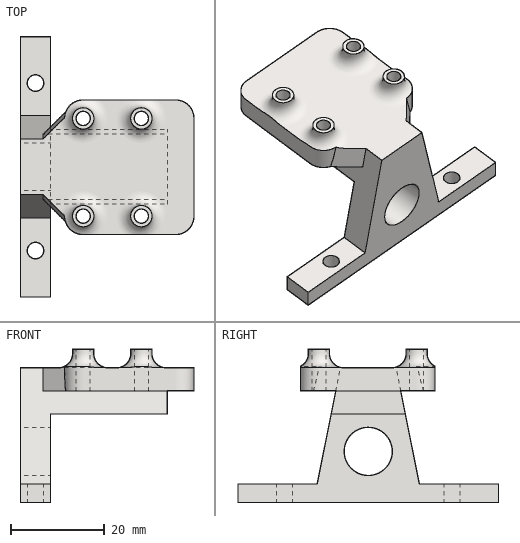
import cadquery as cq


leg_thickness = 6.5
foot_length = 56.0
foot_height = 4.0
foot_hole_diameter = 3.5
foot_hole_spacing = 36.0

deck_height = 29.0
plate_thickness = 5.0
plate_width = 29.0
plate_center_y = -0.1
plate_corner_radius = 4.0
corner_offset_y = plate_width / 2 - plate_corner_radius
plate_start_x = 9.5
plate_end_x = 37.34
plate_length = plate_end_x - plate_start_x
plate_bottom = deck_height - plate_thickness

taper_deck_width = 12.0
taper_foot_width = 22.0
arm_end_x = 31.6
arm_depth = 5.0
arm_bottom = plate_bottom - arm_depth
leg_bore_diameter = 10.3
leg_bore_height = 11.0

gusset_start_x = 4.9
gusset_overlap = 1.5
gusset_end_x = plate_start_x + gusset_overlap

standoff_diameter = 4.6
standoff_height = 4.0
standoff_top = deck_height + standoff_height
standoff_flare_radius = 3.0
standoff_hole_diameter = 3.0
standoff_pitch_x = 12.5
standoff_first_x = plate_start_x + plate_corner_radius
standoff_points = [
    (standoff_first_x + column * standoff_pitch_x, plate_center_y + side * corner_offset_y)
    for column in (0, 1)
    for side in (-1, 1)
]


def taper_half_width(height):
    """Half the width of the tapered leg and arm at a given height."""
    share = (deck_height - height) / (deck_height - foot_height)
    return (taper_deck_width + share * (taper_foot_width - taper_deck_width)) / 2


def make_foot():
    """Bar along Y with one vertical screw hole in each wing."""
    bar = cq.Workplane("XY").box(leg_thickness, foot_length, foot_height, centered=(False, True, False))
    holes = (
        cq.Workplane("XY", origin=(leg_thickness / 2, 0, 0))
        .rarray(1, foot_hole_spacing, 1, 2)
        .circle(foot_hole_diameter / 2)
        .extrude(foot_height)
    )
    return bar.cut(holes)


def make_tapered_block(bottom, length):
    """Trapezoidal block from a bottom height up to the deck, running along X from x = 0."""
    low = taper_half_width(bottom)
    high = taper_half_width(deck_height)
    outline = [(-low, bottom), (low, bottom), (high, deck_height), (-high, deck_height)]
    return cq.Workplane("YZ").polyline(outline).close().extrude(length)


def make_bracket():
    """Upright leg and horizontal arm sharing one taper, with the leg bored through along X."""
    leg = make_tapered_block(foot_height, leg_thickness)
    arm = make_tapered_block(arm_bottom, arm_end_x)
    bore = (
        cq.Workplane("YZ", origin=(0, 0, leg_bore_height))
        .circle(leg_bore_diameter / 2)
        .extrude(leg_thickness)
    )
    return leg.union(arm).cut(bore)


def make_plate(top):
    """Rounded plate from its underside up to a given height."""
    return (
        cq.Workplane("XY", origin=(plate_start_x, plate_center_y, plate_bottom))
        .box(plate_length, plate_width, top - plate_bottom, centered=(False, True, False))
        .edges("|Z")
        .fillet(plate_corner_radius)
    )


def make_gussets(top):
    """Both gussets as one flared block whose flanks lean with the taper of the arm."""
    run = gusset_end_x - gusset_start_x

    def section(height):
        near = taper_half_width(height)
        far = near + run
        return [(gusset_start_x, -near), (gusset_end_x, -far), (gusset_end_x, far), (gusset_start_x, near)]

    return (
        cq.Workplane("XY", origin=(0, 0, plate_bottom))
        .polyline(section(plate_bottom))
        .close()
        .workplane(offset=top - plate_bottom)
        .polyline(section(top))
        .close()
        .loft(ruled=True)
    )


def make_slab(top):
    """Plate and gussets together, up to a given height."""
    return make_plate(top).union(make_gussets(top))


def make_standoff():
    """Round post rooted in the plate, with a concave flare where it meets the deck."""
    radius = standoff_diameter / 2
    flare_outer = radius + standoff_flare_radius
    flare_top = deck_height + standoff_flare_radius
    return (
        cq.Workplane("XZ")
        .moveTo(0, plate_bottom)
        .lineTo(flare_outer, plate_bottom)
        .lineTo(flare_outer, deck_height)
        .radiusArc((radius, flare_top), standoff_flare_radius)
        .lineTo(radius, standoff_top)
        .lineTo(0, standoff_top)
        .close()
        .revolve(360, (0, 0, 0), (0, 1, 0))
    )


def make_deck():
    """Plate, gussets and standoffs; the flares are trimmed flush with the sides of the slab."""
    trim = make_slab(standoff_top)
    standoff = make_standoff()
    deck = make_slab(deck_height)
    for x, y in standoff_points:
        deck = deck.union(standoff.translate((x, y, 0)).intersect(trim))
    holes = (
        cq.Workplane("XY", origin=(0, 0, plate_bottom))
        .pushPoints(standoff_points)
        .circle(standoff_hole_diameter / 2)
        .extrude(standoff_top - plate_bottom)
    )
    return deck.cut(holes)


result = make_foot().union(make_bracket()).union(make_deck())